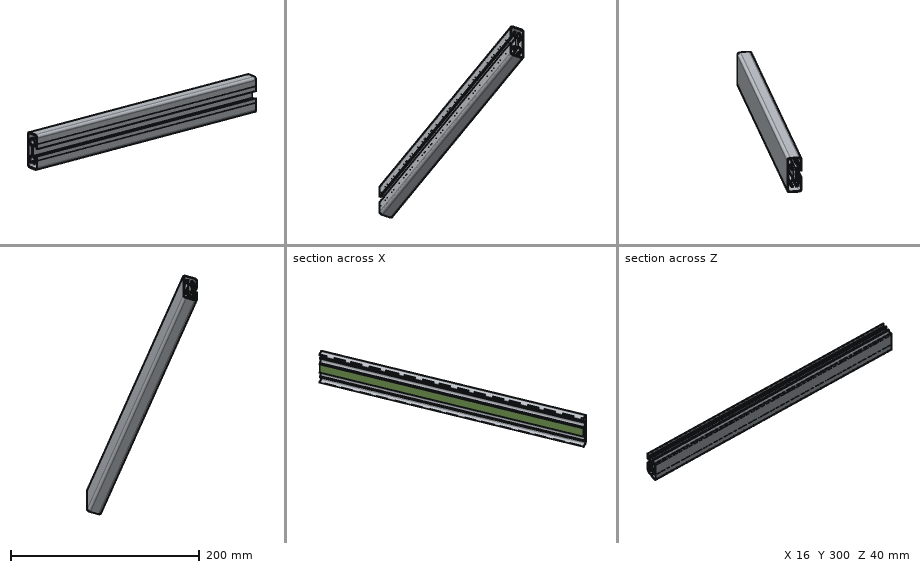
import cadquery as cq

WIDTH = 16.0
LENGTH = 300.0
HEIGHT = 40.0
CORNER_RADIUS = 3.3
CHAMBER_RADIUS = 1.8

END_WALL = 1.5
THIN_WALL = 1.2
THICK_WALL = 1.8
SHELF_BOTTOM = 7.8
SHELF_TOP = 9.3
SLOT_OPENING = 8.0
CENTER_WEB = 2.7

CHANNEL_OFFSET = 9.75
CHANNEL_OUTER_RADIUS = 4.95
CHANNEL_INNER_RADIUS = 3.3
CHANNEL_GAP = 2.7
LIP_RADIUS = 0.85
LIP_RISE = 3.3
RELIEF_FLOOR = 6.0


def block(x_min, x_max, z_min, z_max):
    """Full-length bar with the given cross-section limits."""
    return cq.Workplane("XY").box(x_max - x_min, LENGTH, z_max - z_min).translate(
        ((x_min + x_max) / 2, 0, (z_min + z_max) / 2)
    )


def rod(radius, x, z):
    """Full-length cylinder parallel to Y."""
    section = cq.Workplane("XZ").center(x, z).circle(radius)
    return section.extrude(LENGTH / 2, both=True)


def end_chamber():
    """Space between the upper shelf and the top wall, rounded at the top corners."""
    half_width = WIDTH / 2 - THIN_WALL
    chamber = block(-half_width, half_width, SHELF_TOP, HEIGHT / 2 - END_WALL)
    return chamber.edges("|Y and >Z").fillet(CHAMBER_RADIUS)


def channel_ring():
    """Ring of the upper screw channel, open at the top with rounded lips."""
    ring = rod(CHANNEL_OUTER_RADIUS, 0, CHANNEL_OFFSET).cut(
        rod(CHANNEL_INNER_RADIUS, 0, CHANNEL_OFFSET)
    )
    lip_x = CHANNEL_GAP / 2 + LIP_RADIUS

    wedge_scale = 2 * CHANNEL_OUTER_RADIUS / LIP_RISE
    wedge_x = lip_x * wedge_scale
    wedge_z = CHANNEL_OFFSET + LIP_RISE * wedge_scale
    wedge = (
        cq.Workplane("XZ")
        .polyline([(0, CHANNEL_OFFSET), (wedge_x, wedge_z), (-wedge_x, wedge_z)])
        .close()
        .extrude(LENGTH / 2, both=True)
    )
    ring = ring.cut(wedge)
    for side in (-1, 1):
        ring = ring.union(rod(LIP_RADIUS, side * lip_x, CHANNEL_OFFSET + LIP_RISE))
    return ring


def mirrored_pair(body):
    """The body together with its mirror image below the XY plane."""
    return body.union(body.mirror("XY"))


result = cq.Workplane("XY").box(WIDTH, LENGTH, HEIGHT).edges("|Y").fillet(CORNER_RADIUS)
for chamber in (end_chamber(), end_chamber().mirror("XY")):
    result = result.cut(chamber)
middle_half_width = WIDTH / 2 - THICK_WALL
result = result.cut(block(-middle_half_width, middle_half_width, -SHELF_BOTTOM, SHELF_BOTTOM))
result = result.cut(block(0, WIDTH / 2, -SLOT_OPENING / 2, SLOT_OPENING / 2))

result = result.cut(mirrored_pair(rod(CHANNEL_INNER_RADIUS, 0, CHANNEL_OFFSET)))
result = result.union(mirrored_pair(channel_ring()))
result = result.union(block(-CENTER_WEB / 2, CENTER_WEB / 2, -RELIEF_FLOOR, RELIEF_FLOOR))

for z_min, z_max in ((RELIEF_FLOOR, CHANNEL_OFFSET), (-CHANNEL_OFFSET, -RELIEF_FLOOR)):
    result = result.cut(block(-CHANNEL_GAP / 2, CHANNEL_GAP / 2, z_min, z_max))